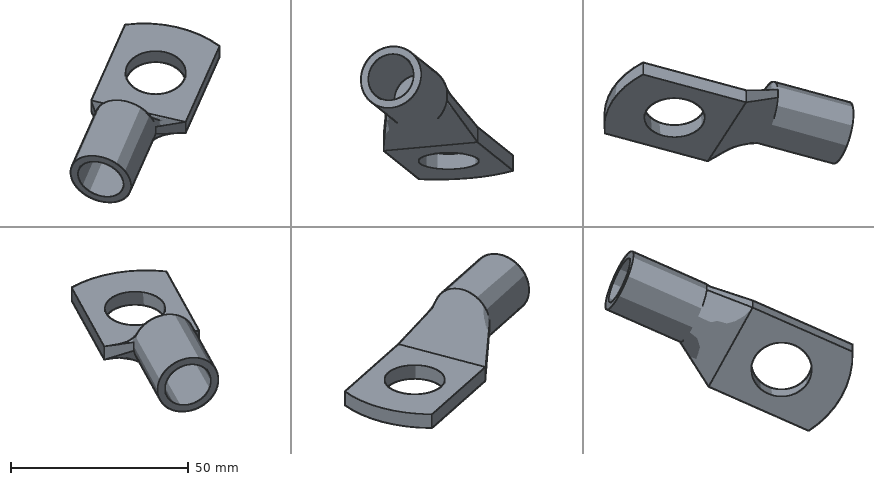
import cadquery as cq
import math

total_length = 70.0
total_height = 20.0
plate_width = 28.0
plate_thickness = 4.5
plate_length = 35.0
tip_rise = 3.5

hole_diameter = 17.0
hole_from_tip = 19.0

barrel_length = 23.1
barrel_diameter = 18.0
bore_diameter = 13.5

neck_steps = 4
crown_power = 1.6

barrel_axis_z = total_height - barrel_diameter / 2
plate_start_y = total_length - plate_length
transition_length = plate_start_y - barrel_length
half_width = plate_width / 2


def make_plate():
    """Flat palm with a rounded tip and a bolt hole."""
    corner_y = total_length - tip_rise
    outline = (
        cq.Workplane("XY")
        .moveTo(-half_width, plate_start_y)
        .lineTo(half_width, plate_start_y)
        .lineTo(half_width, corner_y)
        .threePointArc((0, total_length), (-half_width, corner_y))
        .close()
    )
    hole = (
        cq.Workplane("XY")
        .center(0, total_length - hole_from_tip)
        .circle(hole_diameter / 2)
        .extrude(plate_thickness)
    )
    return outline.extrude(plate_thickness).cut(hole)


def make_barrel():
    """Solid round barrel."""
    return barrel_end_plane().circle(barrel_diameter / 2).extrude(-barrel_length)


def make_bore():
    """Blind bore as deep as the barrel."""
    return barrel_end_plane().circle(bore_diameter / 2).extrude(-barrel_length)


def barrel_end_plane():
    """Plane of the open barrel end, centred on the barrel axis and facing -Y."""
    return cq.Workplane("XZ", origin=(0, 0, barrel_axis_z))


def between(plate_value, barrel_value, fraction):
    """Straight-line blend from the plate (fraction 0) to the barrel (fraction 1)."""
    return plate_value + fraction * (barrel_value - plate_value)


def add_bowed_edge(sketch, middle_z, end):
    """Arc across the neck to the given end point, or a line where it has no bow."""
    end_x, end_z = end
    if math.isclose(middle_z, end_z):
        return sketch.lineTo(end_x, end_z)
    return sketch.threePointArc((0, middle_z), end)


def neck_section(fraction):
    """Cross-section of the neck: flat sides between a bowed top and underside."""
    barrel_radius = barrel_diameter / 2
    corner_angle = math.atan2(plate_thickness, plate_width)
    side_x = between(half_width, barrel_radius * math.cos(corner_angle), fraction)
    rim_offset = barrel_radius * math.sin(corner_angle)
    side_top_z = between(plate_thickness, barrel_axis_z + rim_offset, fraction)
    side_bottom_z = between(0, barrel_axis_z - rim_offset, fraction)
    crown_z = between(plate_thickness, total_height, fraction**crown_power)
    belly_z = between(0, total_height - barrel_diameter, fraction)

    y = plate_start_y - fraction * transition_length
    sketch = cq.Workplane("XZ", origin=(0, y, 0)).moveTo(side_x, side_bottom_z)
    sketch = sketch.lineTo(side_x, side_top_z)
    sketch = add_bowed_edge(sketch, crown_z, (-side_x, side_top_z))
    sketch = sketch.lineTo(-side_x, side_bottom_z)
    sketch = add_bowed_edge(sketch, belly_z, (side_x, side_bottom_z))
    return sketch.wire().val()


def make_transition():
    """Solid neck blending the flat plate into the round barrel."""
    sections = [neck_section(i / neck_steps) for i in range(neck_steps + 1)]
    return cq.Workplane(cq.Solid.makeLoft(sections))


lug = make_plate().union(make_transition()).union(make_barrel()).cut(make_bore())
result = cq.Workplane(lug.solids().val())